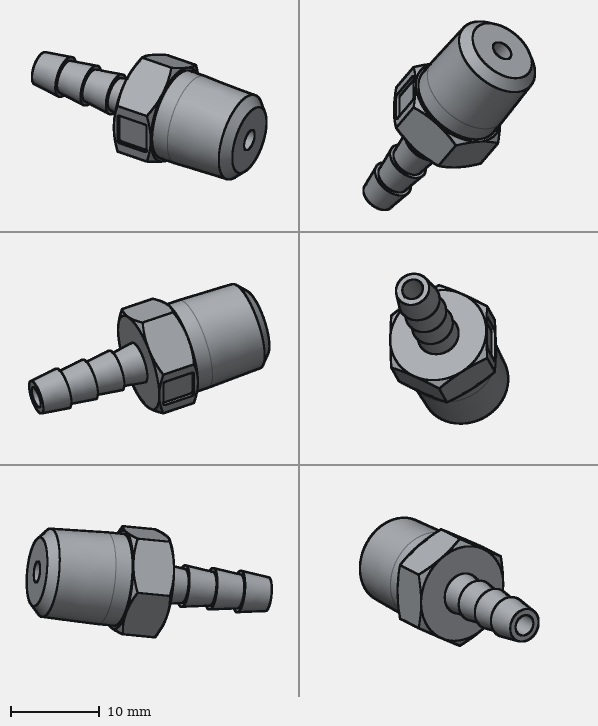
import cadquery as cq
import math

total_length = 27.18

barb_pitch = 3.3
full_barb_count = 3
barb_tip_radius = 1.93
barb_crest_radius = 2.36

hex_start = 12.72
hex_width = 4.8
hex_across_flats = 11.12
hex_chamfer_angle = 30.0
hex_end = hex_start + hex_width
hex_corner_radius = hex_across_flats / math.sqrt(3)
hex_flat_radius = hex_across_flats / 2

collar_length = 1.95
collar_radius = 5.22
thread_taper = 1 / 16
thread_end_chamfer = 1.11
taper_start = hex_end + collar_length
taper_end = total_length - thread_end_chamfer
taper_end_radius = collar_radius - (taper_end - taper_start) * thread_taper / 2

bore_radius = 1.2

panel_length = 3.78
panel_height = 3.85
panel_depth = 0.4
panel_corner_radius = 0.27


def revolve_profile(points):
    """Revolve a closed (x, radius) outline about the X axis."""
    outline = cq.Workplane("XY").polyline(points).close()
    return outline.revolve(360, (0, 0, 0), (1, 0, 0))


def make_barb(start, end):
    """One solid cone, narrow at start and wide at end."""
    return revolve_profile(
        [(start, 0), (start, barb_tip_radius), (end, barb_crest_radius), (end, 0)]
    )


def make_barbs():
    """Full barbs in a row, then a shorter one that ends at the hexagon."""
    starts = [i * barb_pitch for i in range(full_barb_count + 1)]
    ends = starts[1:] + [hex_start]
    barbs = make_barb(starts[0], ends[0])
    for start, end in zip(starts[1:], ends[1:]):
        barbs = barbs.union(make_barb(start, end))
    return barbs


def make_hexagon():
    """Hexagon with corners at +Z and -Z, turned off to a cone at both end faces."""
    prism = (
        cq.Workplane("YZ", origin=(hex_start, 0, 0))
        .polygon(6, 2 * hex_corner_radius)
        .extrude(hex_width)
        .rotate((0, 0, 0), (1, 0, 0), 90)
    )
    chamfer_depth = hex_corner_radius - hex_flat_radius
    chamfer_run = chamfer_depth * math.tan(math.radians(hex_chamfer_angle))
    turned_blank = revolve_profile(
        [
            (hex_start, 0),
            (hex_start, hex_flat_radius),
            (hex_start + chamfer_run, hex_corner_radius),
            (hex_end - chamfer_run, hex_corner_radius),
            (hex_end, hex_flat_radius),
            (hex_end, 0),
        ]
    )
    return prism.intersect(turned_blank)


def make_thread_body():
    """Straight collar, slight taper and a 45 degree lead-in chamfer."""
    return revolve_profile(
        [
            (hex_end, 0),
            (hex_end, collar_radius),
            (taper_start, collar_radius),
            (taper_end, taper_end_radius),
            (total_length, taper_end_radius - thread_end_chamfer),
            (total_length, 0),
        ]
    )


def make_panel_cutter():
    """Block with rounded corners, reaching inward from the -Y flat."""
    panel_center_x = (hex_start + hex_end) / 2
    return (
        cq.Workplane("XZ", origin=(panel_center_x, -hex_flat_radius, 0))
        .rect(panel_length, panel_height)
        .extrude(-panel_depth)
        .edges("|Y")
        .fillet(panel_corner_radius)
    )


bore = cq.Workplane("YZ").circle(bore_radius).extrude(total_length)

result = (
    make_barbs()
    .union(make_hexagon())
    .union(make_thread_body())
    .cut(make_panel_cutter())
    .cut(bore)
)